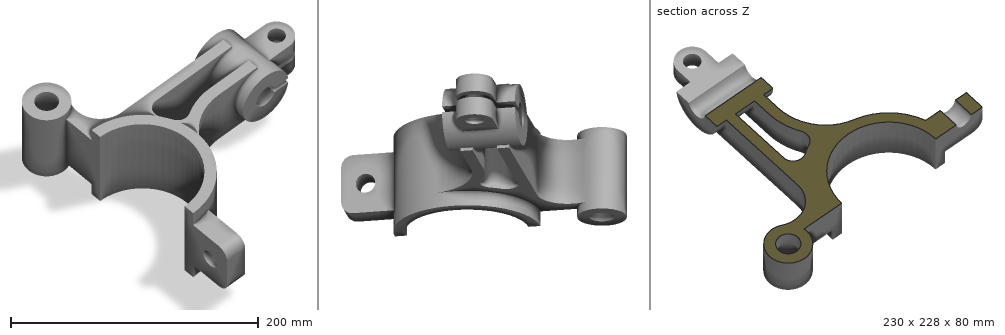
import cadquery as cq
import math


saddle_bore_radius = 50.0
saddle_wall = 10.0
saddle_radius = saddle_bore_radius + saddle_wall
saddle_height = 80.0

ear_end_x = 100.0
ear_thickness = 20.0
ear_height = 50.0
ear_corner_radius = 10.0
ear_hole_x = 80.0
ear_hole_diameter = 16.0

pivot_x = -110.0
pivot_y = -3.0
pivot_radius = 20.0
pivot_height = 70.0
pivot_bore_diameter = 20.0

clamp_x = -45.0
clamp_y = 150.0
clamp_length = 60.0
clamp_radius = 25.0
clamp_bore_radius = 10.0
clamp_slot_width = 5.0

lug_width = 30.0
lug_height = 35.0
lug_hole_y = 190.0
lug_hole_diameter = 15.0

arm_height = 55.0
arm_width = 40.0
leg_thickness = 10.0
arm_left_x = clamp_x - arm_width / 2
arm_right_x = clamp_x + arm_width / 2
pivot_blend_radius = 25.0
saddle_blend_radius = 50.0
window_corner_radius = 10.0

pivot_blend_x = arm_left_x - pivot_blend_radius
pivot_blend_y = pivot_y + math.sqrt(
    (pivot_radius + pivot_blend_radius) ** 2 - (pivot_blend_x - pivot_x) ** 2
)

saddle_blend_x = arm_right_x + saddle_blend_radius
saddle_blend_y = math.sqrt((saddle_radius + saddle_blend_radius) ** 2 - saddle_blend_x**2)


def cylinder_z(x, y, radius, height):
    """Vertical cylinder centred on Z = 0."""
    return cq.Workplane("XY", origin=(x, y, -height / 2)).circle(radius).extrude(height)


def cylinder_x(x, y, radius, length):
    """Cylinder along X, centred on x, with its axis at Z = 0."""
    return cq.Workplane("YZ", origin=(x - length / 2, y, 0)).circle(radius).extrude(length)


def block(x_min, x_max, y_min, y_max, height):
    """Rectangular block centred on Z = 0."""
    corner = cq.Workplane("XY", origin=(x_min, y_min, -height / 2))
    return corner.rect(x_max - x_min, y_max - y_min, centered=False).extrude(height)


def make_saddle():
    """Half of a cylinder, on the +Y side; the saddle bore is cut later."""
    half = block(-saddle_radius, saddle_radius, 0, saddle_radius, saddle_height)
    return cylinder_z(0, 0, saddle_radius, saddle_height).intersect(half)


def make_ear():
    """Ear with rounded outer corners and a bolt hole along Y."""
    ear = block(saddle_bore_radius, ear_end_x, 0, ear_thickness, ear_height)
    ear = ear.edges("|Y and >X").fillet(ear_corner_radius)
    hole = (
        cq.Workplane("XZ", origin=(ear_hole_x, 0, 0))
        .circle(ear_hole_diameter / 2)
        .extrude(-ear_thickness)
    )
    return ear.cut(hole)


def make_arm_window():
    """Opening between the legs, one leg thickness inside the arm and the saddle outlines."""
    left_x = arm_left_x + leg_thickness
    window = block(left_x, saddle_blend_x, 0, clamp_y, arm_height)
    right_of_leg = block(
        arm_right_x - leg_thickness, saddle_blend_x, saddle_blend_y, clamp_y, arm_height
    )
    blend_band = cylinder_z(
        saddle_blend_x, saddle_blend_y, saddle_blend_radius + leg_thickness, arm_height
    )
    saddle_band = cylinder_z(0, 0, saddle_radius + leg_thickness, arm_height)
    window = window.cut(right_of_leg).cut(blend_band).cut(saddle_band)
    opening = cq.Workplane(window.solids("<X").val())
    return opening.edges("|Z").edges("<Y or >X").fillet(window_corner_radius)


def make_arm():
    """Web and legs, blended into the pivot boss and the saddle."""
    diagonal = math.sqrt(0.5)
    saddle_tangent_ratio = saddle_radius / (saddle_radius + saddle_blend_radius)
    pivot_tangent_ratio = pivot_radius / (pivot_radius + pivot_blend_radius)
    saddle_tangent = (saddle_blend_x * saddle_tangent_ratio, saddle_blend_y * saddle_tangent_ratio)
    pivot_tangent = (
        pivot_x + (pivot_blend_x - pivot_x) * pivot_tangent_ratio,
        pivot_y + (pivot_blend_y - pivot_y) * pivot_tangent_ratio,
    )
    saddle_blend_middle = (
        saddle_blend_x - saddle_blend_radius * diagonal,
        saddle_blend_y - saddle_blend_radius * diagonal,
    )
    pivot_blend_middle = (
        pivot_blend_x + pivot_blend_radius * diagonal,
        pivot_blend_y - pivot_blend_radius * diagonal,
    )
    web = (
        cq.Workplane("XY", origin=(0, 0, -arm_height / 2))
        .moveTo(pivot_x, 0)
        .lineTo(0, 0)
        .lineTo(*saddle_tangent)
        .threePointArc(saddle_blend_middle, (arm_right_x, saddle_blend_y))
        .lineTo(arm_right_x, clamp_y)
        .lineTo(arm_left_x, clamp_y)
        .lineTo(arm_left_x, pivot_blend_y)
        .threePointArc(pivot_blend_middle, pivot_tangent)
        .close()
        .extrude(arm_height)
    )
    return web.cut(make_arm_window())


def make_clamp():
    """Clamp barrel with its round-ended pinch lug."""
    barrel = cylinder_x(clamp_x, clamp_y, clamp_radius, clamp_length)
    lug = block(clamp_x - lug_width / 2, clamp_x + lug_width / 2, clamp_y, lug_hole_y, lug_height)
    lug_end = cylinder_z(clamp_x, lug_hole_y, lug_width / 2, lug_height)
    lug_hole = cylinder_z(clamp_x, lug_hole_y, lug_hole_diameter / 2, lug_height)
    return barrel.union(lug).union(lug_end).cut(lug_hole)


def make_clamp_opening():
    """Clamp bore together with the slot that splits the clamp and its lug."""
    slot = block(
        clamp_x - clamp_length / 2,
        clamp_x + clamp_length / 2,
        clamp_y,
        lug_hole_y + lug_width / 2,
        clamp_slot_width,
    )
    return cylinder_x(clamp_x, clamp_y, clamp_bore_radius, clamp_length).union(slot)


pivot_boss = cylinder_z(pivot_x, pivot_y, pivot_radius, pivot_height)
pivot_bore = cylinder_z(pivot_x, pivot_y, pivot_bore_diameter / 2, pivot_height)
saddle_bore = cylinder_z(0, 0, saddle_bore_radius, saddle_height)

body = make_saddle().union(make_ear()).union(make_arm()).union(make_clamp()).union(pivot_boss)
result = body.cut(saddle_bore).cut(pivot_bore).cut(make_clamp_opening())